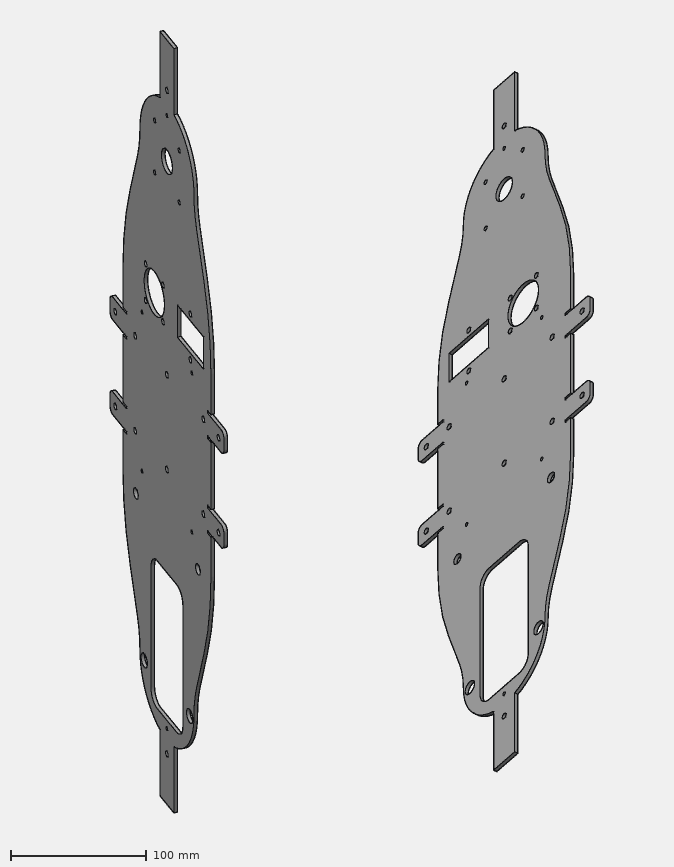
import cadquery as cq
import math

LENGTH = 668.5
THICKNESS = 3.0
BODY_HALF_WIDTH = 81.5

NOSE_RADIUS = 50.0
NOSE_CENTER_Z = 228.0

FLANK_LEAN = math.radians(20)
SHOULDER_RADIUS = 219.0
NECK_RADIUS = 80.0

TONGUE_WIDTH = 26.0
TONGUE_HOLE_Z = 290.0
TONGUE_HOLE_DIAMETER = 5.0
NOSE_PIN_Z = 268.0
NOSE_PIN_DIAMETER = 3.0

LUG_SPAN = 211.0
LUG_HEIGHT = 20.0
LUG_Z = 41.5
LUG_CORNER_RADIUS = 5.0
NOTCH_DEPTH = 7.0
NOTCH_HEIGHT = 2.0

ROW_HOLE_XS = (-95.5, -59.0, 0, 67.5, 95.5)
ROW_HOLE_DIAMETER = 5.0

UPPER_OPENING_Z = 228.0
UPPER_OPENING_DIAMETER = 20.0
UPPER_SCREW_OFFSET = 23.0
UPPER_SCREW_DIAMETER = 3.7

OPENING_ROW_Z = 99.5
ROUND_OPENING_X = -23.5
ROUND_OPENING_DIAMETER = 37.5
ROUND_SCREW_OFFSET = 16.0
WINDOW_X = 43.5
WINDOW_WIDTH = 48.0
WINDOW_HEIGHT = 28.0
WINDOW_SCREW_OFFSET = 20.0
OPENING_SCREW_DIAMETER = 5.0

MOUNT_X = 46.0
MOUNT_Z = 69.5
MOUNT_DIAMETER = 3.0

LONG_WINDOW_WIDTH = 59.0
LONG_WINDOW_TOP = -132.0
LONG_WINDOW_BOTTOM = -261.0
LONG_WINDOW_RADIUS = 11.5
UPPER_PAIR_X = 57.5
UPPER_PAIR_Z = -95.5
UPPER_PAIR_DIAMETER = 9.0
LOWER_PAIR_X = 42.0
LOWER_PAIR_Z = -232.5
LOWER_PAIR_DIAMETER = 11.5


def extrude_centered(sketch):
    """Extrude an XZ sketch to the plate thickness, half to each side."""
    return sketch.extrude(THICKNESS / 2, both=True)


def block(x, z, width, height):
    return extrude_centered(cq.Workplane("XZ").center(x, z).rect(width, height))


def holes(points, diameter):
    return extrude_centered(cq.Workplane("XZ").pushPoints(points).circle(diameter / 2))


def square_points(x, z, x_offset, z_offset):
    return [(x + i * x_offset, z + j * z_offset) for i in (-1, 1) for j in (-1, 1)]


def shoulder_point(angle, start_z):
    """Point on the convex arc that leaves the straight side at start_z."""
    x = BODY_HALF_WIDTH - SHOULDER_RADIUS * (1 - math.cos(angle))
    return x, start_z + SHOULDER_RADIUS * math.sin(angle)


def neck_point(angle):
    """Point on the concave arc that runs into the side of the nose."""
    x = NOSE_RADIUS + NECK_RADIUS * (1 - math.cos(angle))
    return x, NOSE_CENTER_Z - NECK_RADIUS * math.sin(angle)


def make_body():
    radii = SHOULDER_RADIUS + NECK_RADIUS
    side_step = BODY_HALF_WIDTH - NOSE_RADIUS
    flank_length = (side_step - radii * (1 - math.cos(FLANK_LEAN))) / math.sin(FLANK_LEAN)
    flank_rise = flank_length * math.cos(FLANK_LEAN)
    shoulder_z = NOSE_CENTER_Z - radii * math.sin(FLANK_LEAN) - flank_rise

    diagonal = NOSE_RADIUS * math.sqrt(0.5)
    quarter = (
        cq.Workplane("XZ")
        .lineTo(BODY_HALF_WIDTH, 0)
        .lineTo(BODY_HALF_WIDTH, shoulder_z)
        .threePointArc(shoulder_point(FLANK_LEAN / 2, shoulder_z), shoulder_point(FLANK_LEAN, shoulder_z))
        .lineTo(*neck_point(FLANK_LEAN))
        .threePointArc(neck_point(FLANK_LEAN / 2), neck_point(0))
        .threePointArc((diagonal, NOSE_CENTER_Z + diagonal), (0, NOSE_CENTER_Z + NOSE_RADIUS))
        .close()
    )
    quarter = extrude_centered(quarter)
    half = quarter.union(quarter.mirror("YZ"))
    return half.union(half.mirror("XY"))


def make_notches():
    """Narrow slots cut into the body edge just above and below every lug."""
    notch_x = BODY_HALF_WIDTH - NOTCH_DEPTH / 2
    notch_offset = (LUG_HEIGHT + NOTCH_HEIGHT) / 2
    notches = cq.Workplane("XZ")
    for lug_z in (-LUG_Z, LUG_Z):
        for x, z in square_points(0, lug_z, notch_x, notch_offset):
            notches = notches.union(block(x, z, NOTCH_DEPTH, NOTCH_HEIGHT))
    return notches


def make_plate():
    plate = make_body().cut(make_notches())
    plate = plate.union(block(0, 0, TONGUE_WIDTH, LENGTH))
    for lug_z in (-LUG_Z, LUG_Z):
        lug = block(0, lug_z, LUG_SPAN, LUG_HEIGHT).edges("|Y").fillet(LUG_CORNER_RADIUS)
        plate = plate.union(lug)
    return plate


def cut_openings(plate):
    long_height = LONG_WINDOW_TOP - LONG_WINDOW_BOTTOM
    long_z = (LONG_WINDOW_TOP + LONG_WINDOW_BOTTOM) / 2
    long_window = block(0, long_z, LONG_WINDOW_WIDTH, long_height)
    plate = plate.cut(long_window.edges("|Y").fillet(LONG_WINDOW_RADIUS))
    plate = plate.cut(block(WINDOW_X, OPENING_ROW_Z, WINDOW_WIDTH, WINDOW_HEIGHT))
    plate = plate.cut(holes([(ROUND_OPENING_X, OPENING_ROW_Z)], ROUND_OPENING_DIAMETER))
    return plate.cut(holes([(0, UPPER_OPENING_Z)], UPPER_OPENING_DIAMETER))


def cut_holes(plate):
    row_points = [(x, z) for x in ROW_HOLE_XS for z in (-LUG_Z, LUG_Z)]
    upper_screws = square_points(0, UPPER_OPENING_Z, UPPER_SCREW_OFFSET, UPPER_SCREW_OFFSET)
    round_screws = square_points(ROUND_OPENING_X, OPENING_ROW_Z, ROUND_SCREW_OFFSET, ROUND_SCREW_OFFSET)
    window_screws = [(WINDOW_X, OPENING_ROW_Z + side * WINDOW_SCREW_OFFSET) for side in (-1, 1)]
    hole_groups = [
        ([(0, -TONGUE_HOLE_Z), (0, TONGUE_HOLE_Z)], TONGUE_HOLE_DIAMETER),
        ([(0, -NOSE_PIN_Z), (0, NOSE_PIN_Z)], NOSE_PIN_DIAMETER),
        (row_points, ROW_HOLE_DIAMETER),
        (upper_screws, UPPER_SCREW_DIAMETER),
        (round_screws, OPENING_SCREW_DIAMETER),
        (window_screws, OPENING_SCREW_DIAMETER),
        (square_points(0, 0, MOUNT_X, MOUNT_Z), MOUNT_DIAMETER),
        ([(-UPPER_PAIR_X, UPPER_PAIR_Z), (UPPER_PAIR_X, UPPER_PAIR_Z)], UPPER_PAIR_DIAMETER),
        ([(-LOWER_PAIR_X, LOWER_PAIR_Z), (LOWER_PAIR_X, LOWER_PAIR_Z)], LOWER_PAIR_DIAMETER),
    ]
    for points, diameter in hole_groups:
        plate = plate.cut(holes(points, diameter))
    return plate


result = cut_holes(cut_openings(make_plate()))